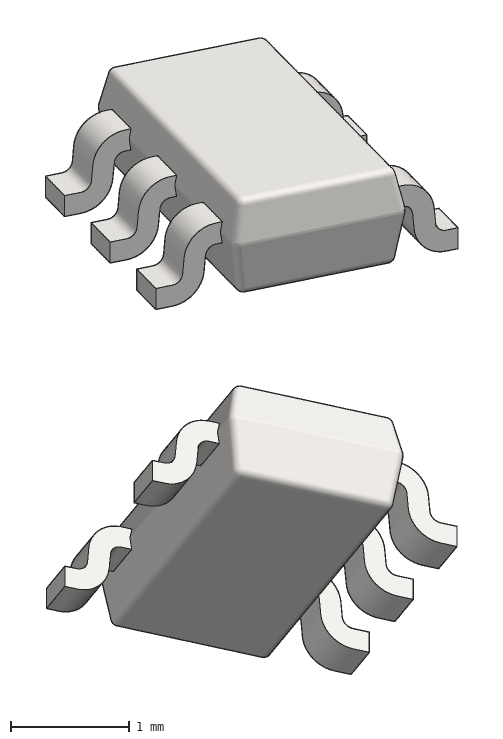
import cadquery as cq
import math

body_length = 2.9
body_width = 1.6
body_top = 1.0
body_bottom = 0.1
parting_height = 0.615
parting_band = 0.023
draft_inset = 0.075
edge_radius = 0.07

lead_span = 2.8
lead_width = 0.4
lead_thickness = 0.2
lead_top = 0.708
lead_pitch = 0.95
front_foot_flat = 0.15
back_foot_flat = 0.11
inner_bend_radius = 0.1
bend_angle = math.radians(85)
lead_embed = 0.29

outer_bend_radius = inner_bend_radius + lead_thickness


def body_half(start_height, end_height):
    """Tapered half of the body, from the parting band to the top or bottom face."""
    return (
        cq.Workplane("XY", origin=(0, 0, start_height))
        .rect(body_length, body_width)
        .workplane(offset=end_height - start_height)
        .rect(body_length - 2 * draft_inset, body_width - 2 * draft_inset)
        .loft(ruled=True)
    )


def make_body():
    """Two tapered halves around an upright band, rounded at the corners and rims."""
    band_bottom = parting_height - parting_band / 2
    band_top = parting_height + parting_band / 2
    band = (
        cq.Workplane("XY", origin=(0, 0, band_bottom))
        .rect(body_length, body_width)
        .extrude(parting_band)
    )
    body = band.union(body_half(band_top, body_top)).union(body_half(band_bottom, body_bottom))
    corner_edges = body.edges("not #Z")
    rim_edges = body.faces("<Z or >Z").edges()
    return body.newObject(corner_edges.vals() + rim_edges.vals()).fillet(edge_radius)


def arc_point(center, radius, angle):
    """Point on a circle, with the angle measured from the upward direction toward +Y."""
    return (center[0] + radius * math.sin(angle), center[1] + radius * math.cos(angle))


def make_lead(x_center, side, foot_flat):
    """S-bent lead centred at x_center, on the +Y (side=1) or -Y (side=-1) flank."""
    foot_end = lead_span / 2
    lead_start = body_width / 2 - lead_embed

    lower_center = (foot_end - foot_flat, lead_thickness + inner_bend_radius)
    upper_z = lead_top - outer_bend_radius
    radius_sum = inner_bend_radius + outer_bend_radius
    center_drop = upper_z - lower_center[1]
    shank = (center_drop + radius_sum * math.cos(bend_angle)) / math.sin(bend_angle)
    center_shift = radius_sum * math.sin(bend_angle) + shank * math.cos(bend_angle)
    upper_center = (lower_center[0] - center_shift, upper_z)

    half_angle = bend_angle / 2
    lower_angle = bend_angle + math.pi
    lower_half = half_angle + math.pi
    profile = (
        cq.Workplane("YZ")
        .moveTo(lead_start, lead_top)
        .lineTo(upper_center[0], lead_top)
        .threePointArc(
            arc_point(upper_center, outer_bend_radius, half_angle),
            arc_point(upper_center, outer_bend_radius, bend_angle),
        )
        .lineTo(*arc_point(lower_center, inner_bend_radius, lower_angle))
        .threePointArc(
            arc_point(lower_center, inner_bend_radius, lower_half),
            (lower_center[0], lead_thickness),
        )
        .lineTo(foot_end, lead_thickness)
        .lineTo(foot_end, 0)
        .lineTo(lower_center[0], 0)
        .threePointArc(
            arc_point(lower_center, outer_bend_radius, lower_half),
            arc_point(lower_center, outer_bend_radius, lower_angle),
        )
        .lineTo(*arc_point(upper_center, inner_bend_radius, bend_angle))
        .threePointArc(
            arc_point(upper_center, inner_bend_radius, half_angle),
            (upper_center[0], lead_top - lead_thickness),
        )
        .lineTo(lead_start, lead_top - lead_thickness)
        .close()
    )
    lead = profile.extrude(lead_width / 2, both=True)
    if side < 0:
        lead = lead.mirror("XZ")
    return lead.translate((x_center, 0, 0))


front_positions = (-lead_pitch, 0, lead_pitch)
back_positions = (-lead_pitch, lead_pitch)

result = make_body()
for x_center in front_positions:
    result = result.union(make_lead(x_center, -1, front_foot_flat))
for x_center in back_positions:
    result = result.union(make_lead(x_center, 1, back_foot_flat))